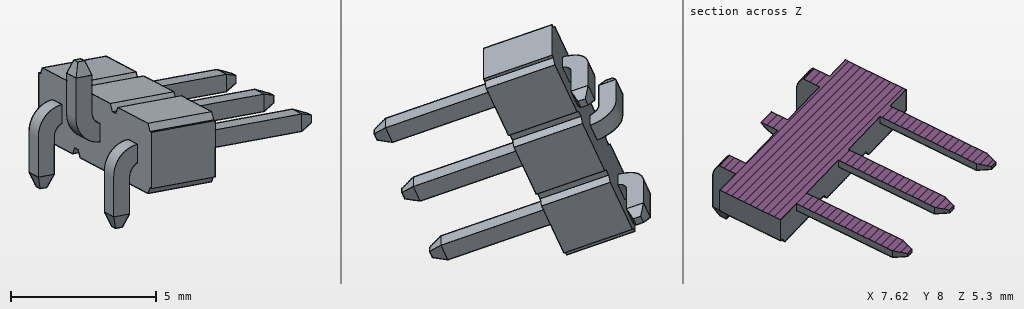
import cadquery as cq
import math


pin_count = 3
pitch = 2.54
body_length = pin_count * pitch
body_depth = 2.54
body_height = 2.54
notch_depth = 0.254
notch_top_half_width = 0.254
notch_flank_angle = 30.0
notch_floor_half_width = notch_top_half_width - notch_depth * math.tan(math.radians(notch_flank_angle))

pin_size = 0.635
overall_depth = 8.0
overall_height = 5.3
leg_overhang = 0.95
bend_outer_radius = 1.0
bend_inner_radius = 0.5
tip_length = 0.5
tip_draft_angle = 20.0

body_front_y = -body_depth / 2
leg_outer_y = body_front_y - leg_overhang
leg_inner_y = leg_outer_y + pin_size
leg_center_y = leg_outer_y + pin_size / 2
outer_bend_y = leg_outer_y + bend_outer_radius
outer_bend_z = pin_size / 2 - bend_outer_radius
inner_bend_y = leg_inner_y + bend_inner_radius
inner_bend_z = -pin_size / 2 - bend_inner_radius
mating_shank_y = leg_outer_y + overall_depth - tip_length
leg_shank_z = -overall_height / 2 + tip_length


def make_notch_pair(x):
    """Trapezoidal grooves along Y, in the top and bottom of the housing at x."""
    top_z = body_height / 2
    floor_z = top_z - notch_depth
    upper = (
        cq.Workplane("XZ")
        .polyline([
            (x - notch_top_half_width, top_z),
            (x - notch_floor_half_width, floor_z),
            (x + notch_floor_half_width, floor_z),
            (x + notch_top_half_width, top_z),
        ])
        .close()
        .extrude(body_depth / 2, both=True)
    )
    return upper.union(upper.mirror("XY"))


def make_body():
    """Housing block with grooves at every pitch boundary and half grooves at the ends."""
    body = cq.Workplane("XY").box(body_length, body_depth, body_height)
    for boundary in range(pin_count + 1):
        body = body.cut(make_notch_pair(-body_length / 2 + boundary * pitch))
    return body


def make_tip(origin, direction):
    """Four-sided tapered pin end, starting at origin and pointing along direction."""
    base = cq.Plane(origin=origin, xDir=(1, 0, 0), normal=direction)
    return cq.Workplane(base).rect(pin_size, pin_size).extrude(tip_length, taper=tip_draft_angle)


def make_pin():
    """Square pin at x = 0 with its leg bent down."""
    half = pin_size / 2
    diagonal = math.sqrt(0.5)
    outer_mid = (
        outer_bend_y - bend_outer_radius * diagonal,
        outer_bend_z + bend_outer_radius * diagonal,
    )
    inner_mid = (
        inner_bend_y - bend_inner_radius * diagonal,
        inner_bend_z + bend_inner_radius * diagonal,
    )
    shank = (
        cq.Workplane("YZ")
        .moveTo(mating_shank_y, half)
        .lineTo(outer_bend_y, half)
        .threePointArc(outer_mid, (leg_outer_y, outer_bend_z))
        .lineTo(leg_outer_y, leg_shank_z)
        .lineTo(leg_inner_y, leg_shank_z)
        .lineTo(leg_inner_y, inner_bend_z)
        .threePointArc(inner_mid, (inner_bend_y, -half))
        .lineTo(mating_shank_y, -half)
        .close()
        .extrude(half, both=True)
    )
    mating_tip = make_tip((0, mating_shank_y, 0), (0, 1, 0))
    leg_tip = make_tip((0, leg_center_y, leg_shank_z), (0, 0, -1))
    return shank.union(mating_tip).union(leg_tip)


pin_down = make_pin()
pin_up = pin_down.mirror("XY")

result = make_body()
for index in range(pin_count):
    pin = pin_down if index % 2 == 0 else pin_up
    pin_x = (index - (pin_count - 1) / 2) * pitch
    result = result.union(pin.translate((pin_x, 0, 0)))